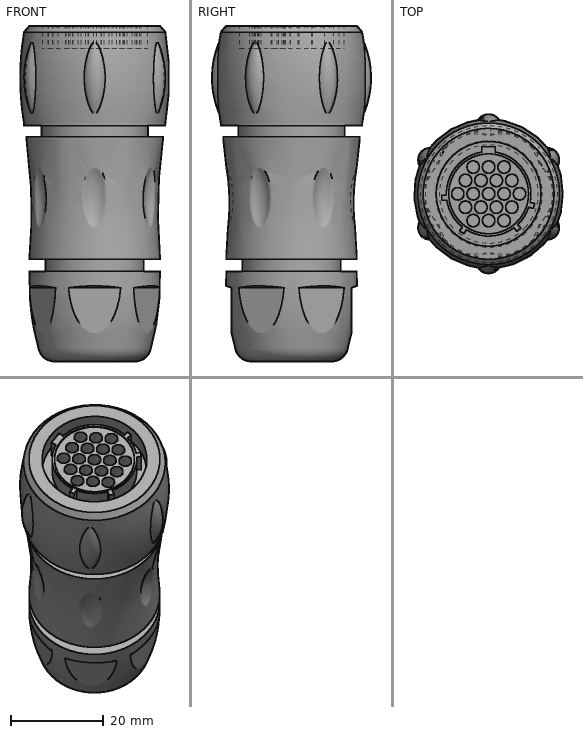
import cadquery as cq
import math

TOTAL_HEIGHT = 72.6
GRIP_COUNT = 6
FIRST_GRIP_ANGLE = 30.0

NUT_TOP_Z = 19.5
NUT_RADIUS = 14.15
NUT_BULGE_Z = 9.4
NUT_BULGE_RADIUS = 13.6
NUT_TAPER_END_Z = 2.6
NUT_TAPER_END_RADIUS = 12.1
NUT_END_RADIUS = 8.65
FLAT_TOP_Z = 16.0
FLAT_DISTANCE = 13.0
FLAT_ROOF_ANGLE = 20.0
FLAT_CUT_REACH = 2.2

LOWER_NECK_RADIUS = 10.7
BODY_BOTTOM_Z = 22.15
BODY_TOP_Z = 48.65
BODY_BOTTOM_RADIUS = 14.15
BODY_TOP_RADIUS = 14.8
BODY_WAIST_Z = 32.6
BODY_WAIST_RADIUS = 13.7
EDGE_BAND = 0.4

UPPER_NECK_RADIUS = 11.55
RING_BOTTOM_Z = 51.05
RING_DIAMETER = 32.3
RING_END_RADIUS = 15.3
RING_SHOULDER_Z = 71.3
RING_TOP_RADIUS = 14.15
RING_BULGE_Z = (RING_BOTTOM_Z + EDGE_BAND + RING_SHOULDER_Z) / 2

RIB_CREST_DIAMETER = 34.5
RIB_RADIUS = 2.7
RIB_ARC_RADIUS = 19.7

DENT_Z = 35.15
DENT_FLOOR_RADIUS = 12.7
DENT_ROUND_RADIUS = 3.9
DENT_HALF_LENGTH = 8.85
DENT_LIP_FILLET = 0.7

SOCKET_RADIUS = 11.3
SOCKET_DEPTH = 4.8
INSERT_RADIUS = 9.15
INSERT_RIM_RADIUS = 8.65
INSERT_RECESS = 0.2
KEY_TIP_RADIUS = 10.2
WIDE_KEY_ANGLE = 90.0
WIDE_KEY_WIDTH = 2.9
NARROW_KEY_ANGLES = (185.0, 235.0, 310.0, 345.0)
NARROW_KEY_WIDTH = 1.1
CONTACT_DIAMETER = 2.7
CONTACT_PITCH = 3.35
CONTACT_ROWS = 2
CONTACT_DEPTH = SOCKET_DEPTH

SOCKET_FLOOR_Z = TOTAL_HEIGHT - SOCKET_DEPTH


def around_axis(shape):
    """Repeat a shape that lies on the +X side at every grip position."""
    copies = cq.Workplane("XY")
    for i in range(GRIP_COUNT):
        angle = FIRST_GRIP_ANGLE + i * 360 / GRIP_COUNT
        copies = copies.add(shape.rotate((0, 0, 0), (0, 0, 1), angle).vals())
    return copies


def disc(radius, bottom_z, height):
    return cq.Workplane("XY", origin=(0, 0, bottom_z)).circle(radius).extrude(height)


def revolve(outline):
    """Close an outline of (radius, z) points against the Z axis and revolve it."""
    return outline.close().revolve(360, (0, 0, 0), (0, 1, 0))


def make_nut():
    outline = (
        cq.Workplane("XZ")
        .moveTo(0, 0)
        .lineTo(NUT_END_RADIUS, 0)
        .tangentArcPoint((NUT_TAPER_END_RADIUS, NUT_TAPER_END_Z), relative=False)
        .threePointArc((NUT_BULGE_RADIUS, NUT_BULGE_Z), (NUT_RADIUS, NUT_TOP_Z))
        .lineTo(0, NUT_TOP_Z)
    )
    roof_rise = FLAT_CUT_REACH * math.tan(math.radians(FLAT_ROOF_ANGLE))
    flat_cut = (
        cq.Workplane("XZ")
        .moveTo(FLAT_DISTANCE, 0)
        .lineTo(FLAT_DISTANCE + FLAT_CUT_REACH, 0)
        .lineTo(FLAT_DISTANCE + FLAT_CUT_REACH, FLAT_TOP_Z + roof_rise)
        .lineTo(FLAT_DISTANCE, FLAT_TOP_Z)
        .close()
        .extrude(NUT_RADIUS, both=True)
    )
    return revolve(outline).cut(around_axis(flat_cut))


def make_body():
    outline = (
        cq.Workplane("XZ")
        .moveTo(0, BODY_BOTTOM_Z)
        .lineTo(BODY_BOTTOM_RADIUS, BODY_BOTTOM_Z)
        .lineTo(BODY_BOTTOM_RADIUS, BODY_BOTTOM_Z + EDGE_BAND)
        .threePointArc((BODY_WAIST_RADIUS, BODY_WAIST_Z), (BODY_TOP_RADIUS, BODY_TOP_Z - EDGE_BAND))
        .lineTo(BODY_TOP_RADIUS, BODY_TOP_Z)
        .lineTo(0, BODY_TOP_Z)
    )
    dent = revolve(
        cq.Workplane("XZ")
        .moveTo(0, -DENT_HALF_LENGTH)
        .ellipseArc(DENT_ROUND_RADIUS, DENT_HALF_LENGTH, -90, 90, startAtCurrent=True)
    ).translate((DENT_FLOOR_RADIUS + DENT_ROUND_RADIUS, 0, DENT_Z))
    body = revolve(outline).cut(around_axis(dent))
    lips = cq.selectors.BoxSelector(
        (-BODY_TOP_RADIUS, -BODY_TOP_RADIUS, DENT_Z - DENT_LIP_FILLET),
        (BODY_TOP_RADIUS, BODY_TOP_RADIUS, DENT_Z + DENT_LIP_FILLET),
    )
    return body.edges(lips).fillet(DENT_LIP_FILLET)


def make_ring():
    outline = (
        cq.Workplane("XZ")
        .moveTo(0, RING_BOTTOM_Z)
        .lineTo(RING_END_RADIUS, RING_BOTTOM_Z)
        .lineTo(RING_END_RADIUS, RING_BOTTOM_Z + EDGE_BAND)
        .threePointArc((RING_DIAMETER / 2, RING_BULGE_Z), (RING_END_RADIUS, RING_SHOULDER_Z))
        .lineTo(RING_TOP_RADIUS, TOTAL_HEIGHT)
        .lineTo(0, TOTAL_HEIGHT)
    )
    rib_half_length = math.sqrt(RIB_ARC_RADIUS**2 - (RIB_ARC_RADIUS - RIB_RADIUS) ** 2)
    rib = revolve(
        cq.Workplane("XZ")
        .moveTo(0, -rib_half_length)
        .threePointArc((RIB_RADIUS, 0), (0, rib_half_length))
    ).translate((RIB_CREST_DIAMETER / 2 - RIB_RADIUS, 0, RING_BULGE_Z))
    socket = disc(SOCKET_RADIUS, SOCKET_FLOOR_Z, SOCKET_DEPTH)
    return revolve(outline).union(around_axis(rib)).cut(socket)


def make_key(angle, width):
    """Radial key on the side of the insert, as tall as the socket is deep."""
    key = cq.Workplane("XY").box(
        KEY_TIP_RADIUS - INSERT_RIM_RADIUS, width, SOCKET_DEPTH, centered=(False, True, False)
    )
    return key.translate((INSERT_RIM_RADIUS, 0, SOCKET_FLOOR_Z)).rotate((0, 0, 0), (0, 0, 1), angle)


def contact_points():
    """Hexagonal grid of contacts: rows of 3, 4, 5, 4 and 3."""
    points = []
    for row in range(-CONTACT_ROWS, CONTACT_ROWS + 1):
        count = 2 * CONTACT_ROWS + 1 - abs(row)
        y = row * CONTACT_PITCH * math.sqrt(3) / 2
        for i in range(count):
            points.append(((i - (count - 1) / 2) * CONTACT_PITCH, y))
    return points


def make_insert():
    insert = disc(INSERT_RADIUS, SOCKET_FLOOR_Z, SOCKET_DEPTH)
    insert = insert.union(make_key(WIDE_KEY_ANGLE, WIDE_KEY_WIDTH))
    for angle in NARROW_KEY_ANGLES:
        insert = insert.union(make_key(angle, NARROW_KEY_WIDTH))
    return insert.cut(disc(INSERT_RIM_RADIUS, TOTAL_HEIGHT - INSERT_RECESS, INSERT_RECESS))


def make_contact_holes():
    return (
        cq.Workplane("XY", origin=(0, 0, TOTAL_HEIGHT))
        .pushPoints(contact_points())
        .circle(CONTACT_DIAMETER / 2)
        .extrude(-CONTACT_DEPTH)
    )


lower_neck = disc(LOWER_NECK_RADIUS, NUT_TOP_Z, BODY_BOTTOM_Z - NUT_TOP_Z)
upper_neck = disc(UPPER_NECK_RADIUS, BODY_TOP_Z, RING_BOTTOM_Z - BODY_TOP_Z)

result = (
    make_nut()
    .union(lower_neck)
    .union(make_body())
    .union(upper_neck)
    .union(make_ring())
    .union(make_insert())
    .cut(make_contact_holes())
)